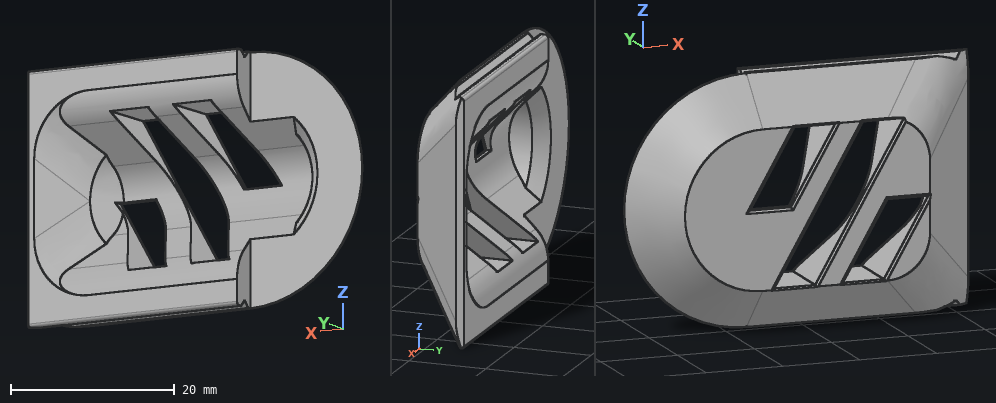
import cadquery as cq
import math

length = 45.6
half_height = 15.9
depth = 9.0
skirt_depth = 5.8
right_end = length - half_height

face_half_height = half_height - skirt_depth
face_right = 21.75
corner_radius = 5.5

floor_thickness = 1.0
cavity_half_offset = 1.5
cavity_right_offset = 19.85
inner_corner_radius = 7.75
corner_flat_depth = 4.0
lip_radius = 5.5

groove_depth = 0.8
groove_center = 7.15
rail_round = 0.4

slot_width = 5.35
slot_pitch = 8.95
middle_slot = 10.05
slot_reach = 10.0
slot_chamfer = 0.3
slot_lean = math.radians(30)
slots = [
    (middle_slot - slot_pitch, 0, slot_reach),
    (middle_slot, -slot_reach, slot_reach),
    (middle_slot + slot_pitch, -slot_reach, 0),
]


def plane_at(y):
    """Plane parallel to the front face, with local X and Y along global X and Z."""
    return cq.Workplane("XZ", origin=(0, y, 0))


def box_between(low, high):
    size = [b - a for a, b in zip(low, high)]
    return cq.Workplane("XY").box(*size, centered=False).translate(low)


def rounded_outline(y, half, right, radius):
    """Half-round left end and a right end with two rounded corners."""
    flat = half - radius
    diagonal = radius * math.sqrt(0.5)
    outline = (
        plane_at(y).moveTo(0, -half).lineTo(right - radius, -half)
        .threePointArc((right - radius + diagonal, -flat - diagonal), (right, -flat))
        .lineTo(right, flat)
        .threePointArc((right - radius + diagonal, flat + diagonal), (right - radius, half))
        .lineTo(0, half).threePointArc((-half, 0), (0, -half)).close()
    )
    return outline.ctx.pendingWires[0]


def obround(y, half, center_distance):
    """Outline with two half-round ends."""
    outline = (
        plane_at(y).moveTo(0, -half).lineTo(center_distance, -half)
        .threePointArc((center_distance + half, 0), (center_distance, half))
        .lineTo(0, half).threePointArc((-half, 0), (0, -half)).close()
    )
    return outline.ctx.pendingWires[0]


def loft(first, second):
    return cq.Workplane(obj=cq.Solid.makeLoft([first, second], True))


def make_body():
    sloped = loft(
        rounded_outline(0, face_half_height, face_right, corner_radius),
        rounded_outline(depth, face_half_height + depth, face_right + depth, corner_radius),
    )
    skirt = box_between((-half_height, 0, -half_height), (right_end, skirt_depth, half_height))
    rails = box_between((0, 0, -half_height), (right_end, depth, half_height))
    rails = rails.edges("|X and >Y").fillet(rail_round)
    return sloped.intersect(skirt.union(rails))


def make_trough():
    """Channel along X: round floor, 45 degree walls and a rounded lip at the back."""
    floor_radius = (floor_thickness + cavity_half_offset) / (math.sqrt(2) - 1)
    floor_half = floor_radius * math.sqrt(0.5)
    floor_end = floor_half - cavity_half_offset

    lip_tangent = lip_radius * math.tan(math.pi / 8)
    lip_half = depth + cavity_half_offset + lip_tangent
    lip_start = depth - lip_tangent * math.sqrt(0.5)
    lip_start_half = lip_start + cavity_half_offset
    lip_middle = depth - lip_radius * (1 - math.cos(math.pi / 8))
    lip_middle_half = lip_half - lip_radius * math.sin(math.pi / 8)

    return (
        cq.Workplane("YZ", origin=(-half_height, 0, 0)).moveTo(floor_end, -floor_half)
        .threePointArc((floor_thickness, 0), (floor_end, floor_half))
        .lineTo(lip_start, lip_start_half)
        .threePointArc((lip_middle, lip_middle_half), (depth, lip_half))
        .lineTo(depth, -lip_half)
        .threePointArc((lip_middle, -lip_middle_half), (lip_start, -lip_start_half))
        .close().extrude(length)
    )


def make_cavity():
    right_center = cavity_right_offset - inner_corner_radius
    shallow = loft(
        obround(floor_thickness, inner_corner_radius, right_center + floor_thickness),
        obround(corner_flat_depth, inner_corner_radius, right_center + corner_flat_depth),
    )
    sliver = 0.0005
    deep_half = inner_corner_radius + depth - corner_flat_depth
    deep = loft(
        rounded_outline(corner_flat_depth, inner_corner_radius + sliver,
                        cavity_right_offset + corner_flat_depth, inner_corner_radius),
        rounded_outline(depth, deep_half, cavity_right_offset + depth, inner_corner_radius),
    )
    trough = make_trough()
    return shallow.intersect(trough).union(deep.intersect(trough))


def slot_outline(y, center, bottom, top, grow):
    """Leaning parallelogram, with every side moved outward by grow."""
    low = bottom - grow
    high = top + grow
    half = slot_width / 2 + grow / math.cos(slot_lean)
    lean = math.tan(slot_lean)
    return plane_at(y).polyline([
        (center + low * lean - half, low),
        (center + low * lean + half, low),
        (center + high * lean + half, high),
        (center + high * lean - half, high),
    ]).close()


def make_slot(center, bottom, top):
    through = slot_outline(0, center, bottom, top, 0).extrude(-depth)
    rim = loft(
        slot_outline(0, center, bottom, top, slot_chamfer).ctx.pendingWires[0],
        slot_outline(slot_chamfer, center, bottom, top, 0).ctx.pendingWires[0],
    )
    return through.union(rim)


def make_groove(side):
    edge = side * half_height
    return (
        cq.Workplane("YZ")
        .polyline([
            (groove_center - groove_depth, edge),
            (groove_center, edge - side * groove_depth),
            (groove_center + groove_depth, edge),
        ])
        .close().extrude(right_end)
    )


result = make_body().cut(make_cavity())
for slot in slots:
    result = result.cut(make_slot(*slot))
for side in (-1, 1):
    result = result.cut(make_groove(side))